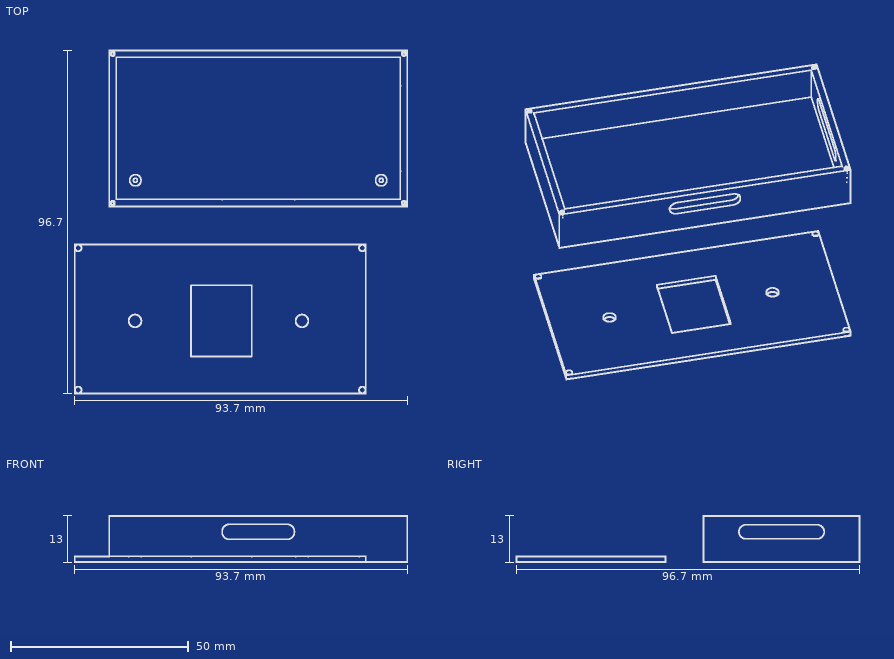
import cadquery as cq
import math

tray_length = 84.0
tray_width = 44.0
tray_height = 13.0
wall = 2.0
floor = 2.5

thread_minor_diameter = 0.97
thread_major_diameter = 1.25
thread_pitch = 0.25
thread_crest = thread_pitch / 8
thread_flank_angle = 30.0
thread_overlap = 0.01
thread_start_angle = 90.0
screw_hole_depth = 5.0
screw_inset = wall / 2

front_slot_length = 20.4
front_slot_height = 4.3
side_slot_length = 24.0
side_slot_height = 4.0
slot_center_z = 8.5

peg_diameter = 3.2
peg_tip_diameter = 1.15
peg_spacing = 69.2
peg_from_front = 7.4

plate_length = 82.0
plate_width = 42.0
plate_thickness = 1.6
corner_hole_diameter = 1.8
corner_hole_inset = 1.0
button_hole_diameter = 3.5
button_hole_spacing = 47.0
button_hole_x = -0.5
window_length = 17.0
window_width = 20.0
window_x = 0.3
opening_y = -0.55

overall_length = 93.7
overall_width = 96.65
plate_x = tray_length / 2 - overall_length + plate_length / 2
plate_y = tray_width / 2 - overall_width + plate_width / 2


def make_peg():
    """Hemisphere standing on the floor, cut flat at the tip."""
    radius = peg_diameter / 2
    tip_radius = peg_tip_diameter / 2
    tip_height = math.sqrt(radius**2 - tip_radius**2)
    dome = cq.Workplane("XY").sphere(radius)
    band = cq.Workplane("XY").rect(peg_diameter, peg_diameter).extrude(tip_height)
    return dome.intersect(band)


def make_thread_groove():
    """Helical groove of one screw hole, starting at z = 0 and running out through the rim."""
    minor_radius = thread_minor_diameter / 2
    major_radius = thread_major_diameter / 2
    root_radius = minor_radius - thread_overlap
    crest_half = thread_crest / 2
    root_half = crest_half + (major_radius - root_radius) * math.tan(math.radians(thread_flank_angle))
    helix = cq.Wire.makeHelix(thread_pitch, screw_hole_depth, root_radius)
    profile = cq.Workplane("XZ").polyline(
        [
            (root_radius, -root_half),
            (major_radius, -crest_half),
            (major_radius, crest_half),
            (root_radius, root_half),
        ]
    ).close()
    groove = profile.sweep(cq.Workplane(helix), isFrenet=True)
    return groove.rotate((0, 0, 0), (0, 0, 1), thread_start_angle)


def make_tray():
    """Open box with two slots, four threaded screw holes and two pegs."""
    tray = cq.Workplane("XY").box(tray_length, tray_width, tray_height, centered=(True, True, False))
    cavity = (
        cq.Workplane("XY", origin=(0, 0, floor))
        .rect(tray_length - 2 * wall, tray_width - 2 * wall)
        .extrude(tray_height - floor)
    )
    tray = tray.cut(cavity)

    front_slot = (
        cq.Workplane("XZ", origin=(0, -tray_width / 2, slot_center_z))
        .slot2D(front_slot_length, front_slot_height)
        .extrude(-wall)
    )
    side_slot = (
        cq.Workplane("YZ", origin=(tray_length / 2, 0, slot_center_z))
        .slot2D(side_slot_length, side_slot_height)
        .extrude(-wall)
    )
    tray = tray.cut(front_slot).cut(side_slot)

    pilot_hole = cq.Workplane("XY").circle(thread_minor_diameter / 2).extrude(screw_hole_depth)
    groove = make_thread_groove()
    for x_side in (-1, 1):
        for y_side in (-1, 1):
            hole_place = (
                x_side * (tray_length / 2 - screw_inset),
                y_side * (tray_width / 2 - screw_inset),
                tray_height - screw_hole_depth,
            )
            tray = tray.cut(pilot_hole.translate(hole_place))
            tray = tray.cut(groove.translate(hole_place))

    for side in (-1, 1):
        peg_place = (side * peg_spacing / 2, peg_from_front - tray_width / 2, floor)
        tray = tray.union(make_peg().translate(peg_place))
    return tray


def make_cover_plate():
    """Flat plate with corner screw holes, two button holes and a window."""
    plate = cq.Workplane("XY").rect(plate_length, plate_width).extrude(plate_thickness)
    corner_holes = (
        cq.Workplane("XY")
        .rect(plate_length - 2 * corner_hole_inset, plate_width - 2 * corner_hole_inset, forConstruction=True)
        .vertices()
        .circle(corner_hole_diameter / 2)
        .extrude(plate_thickness)
    )
    button_holes = (
        cq.Workplane("XY", origin=(button_hole_x, opening_y, 0))
        .pushPoints([(side * button_hole_spacing / 2, 0) for side in (-1, 1)])
        .circle(button_hole_diameter / 2)
        .extrude(plate_thickness)
    )
    window = (
        cq.Workplane("XY", origin=(window_x, opening_y, 0))
        .rect(window_length, window_width)
        .extrude(plate_thickness)
    )
    plate = plate.cut(corner_holes).cut(button_holes).cut(window)
    return plate.translate((plate_x, plate_y, 0))


tray = make_tray()
cover_plate = make_cover_plate()
result = cq.Compound.makeCompound([tray.solids().val(), cover_plate.solids().val()])